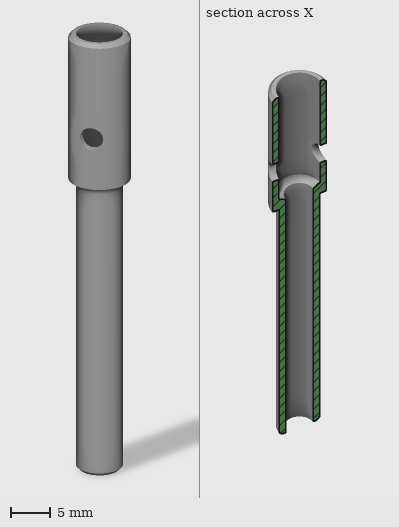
import cadquery as cq
import math

total_length = 60.0
head_length = 20.0
head_radius = 8.0 / 2
shank_radius = 6.0 / 2
end_chamfer = 0.5

socket_radius = 6.0 / 2
socket_depth = 18.0
bore_radius = 4.0 / 2
step_half_angle = 59.0

cross_hole_radius = 3.0 / 2
cross_hole_depth = 13.0

head_bottom = total_length - head_length
socket_bottom = total_length - socket_depth
step_height = (socket_radius - bore_radius) / math.tan(math.radians(step_half_angle))


def turned_body():
    """Hollow shank and head, revolved from half of the section (radius, height)."""
    section = [
        (bore_radius, 0),
        (shank_radius - end_chamfer, 0),
        (shank_radius, end_chamfer),
        (shank_radius, head_bottom),
        (head_radius, head_bottom),
        (head_radius, total_length - end_chamfer),
        (head_radius - end_chamfer, total_length),
        (socket_radius, total_length),
        (socket_radius, socket_bottom),
        (bore_radius, socket_bottom - step_height),
    ]
    return cq.Workplane("XZ").polyline(section).close().revolve(360, (0, 0), (0, 1))


def cross_hole():
    """Cylinder that pierces both walls of the head."""
    return (
        cq.Workplane("XZ")
        .center(0, total_length - cross_hole_depth)
        .circle(cross_hole_radius)
        .extrude(head_radius, both=True)
    )


result = turned_body().cut(cross_hole())